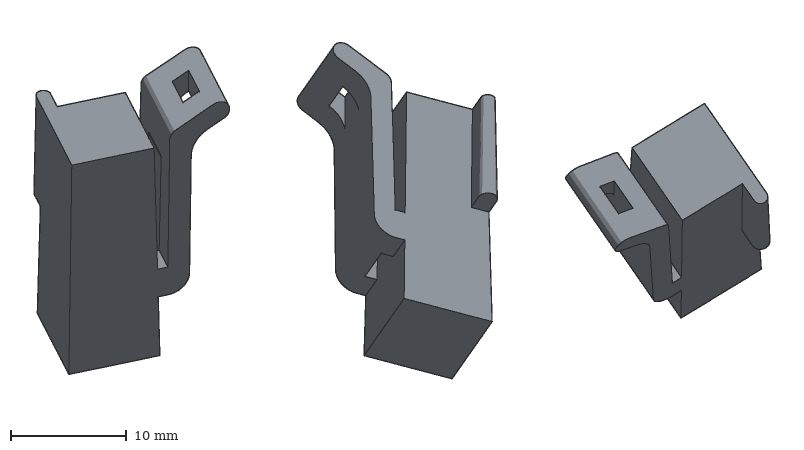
import cadquery as cq
import math

total_height = 26.6
total_depth = 14.8
draft_angle = 1.0
draft_slope = math.tan(math.radians(draft_angle))

body_width = 8.8
body_depth = 8.3
body_height = 23.0

fin_reach = 2.3
fin_bottom = 12.08
fin_base_thickness = 1.68

arm_thickness = 2.0
root_bottom = 6.52
root_top = 9.58
arm_inner_y = 9.07
root_radius = 2.0
bend_inner_radius = 1.0
bend_outer_radius = 3.0
lever_angle = 30.0

window_width = 2.98
window_front = 11.33
window_back = 12.82
root_slot_width = 3.55
root_slot_back = 9.3
root_slot_top = 19.95
opening_center_x = 4.45


def make_body():
    return (
        cq.Workplane("XY")
        .rect(body_width, body_depth, centered=False)
        .extrude(body_height, taper=draft_angle)
    )


def make_fin():
    """Drafted fin with a half-round free end."""
    radius = fin_base_thickness / 2
    front_y = fin_bottom * draft_slope
    back_y = front_y + fin_base_thickness
    round_x = radius - fin_reach
    inner_x = body_width / 2
    return (
        cq.Workplane("XY", origin=(0, 0, fin_bottom))
        .moveTo(inner_x, front_y)
        .lineTo(inner_x, back_y)
        .lineTo(round_x, back_y)
        .threePointArc((-fin_reach, front_y + radius), (round_x, front_y))
        .close()
        .extrude(body_height - fin_bottom, taper=draft_angle)
    )


def vertical_box(width, y_start, y_end, z_start, z_end):
    """Box centered on the latch openings."""
    return (
        cq.Workplane("XY", origin=(opening_center_x, (y_start + y_end) / 2, z_start))
        .rect(width, y_end - y_start)
        .extrude(z_end - z_start)
    )


def make_arm():
    """Bent latch arm, its sides drafted in line with the body."""
    tip_radius = arm_thickness / 2
    tip_y = total_depth - tip_radius
    tip_z = total_height - tip_radius
    lever = math.radians(lever_angle)
    normal_y, normal_z = math.sin(lever), math.cos(lever)

    def face_bend(face_y, side):
        """Corner where an arm face meets the lever face above (+1) or below (-1) the tip."""
        lever_y = tip_y - side * tip_radius * normal_y
        lever_z = tip_z + side * tip_radius * normal_z
        rise = math.tan(lever)
        corner_z = lever_z + rise * (face_y - root_top * draft_slope - lever_y)
        corner_z /= 1 - rise * draft_slope
        corner_y = face_y + (corner_z - root_top) * draft_slope
        return (corner_y, corner_z), (lever_y, lever_z)

    outer_y = arm_inner_y + arm_thickness
    inner_corner, lever_top = face_bend(arm_inner_y, 1)
    outer_corner, lever_bottom = face_bend(outer_y, -1)
    root_outer_y = outer_y - (root_top - root_bottom) * draft_slope
    root_front_y = body_depth / 2

    arm = (
        cq.Workplane("YZ")
        .moveTo(root_front_y, root_bottom)
        .lineTo(root_outer_y, root_bottom)
        .lineTo(*outer_corner)
        .lineTo(*lever_bottom)
        .threePointArc((tip_y + tip_radius * normal_z, tip_z + tip_radius * normal_y), lever_top)
        .lineTo(*inner_corner)
        .lineTo(arm_inner_y, root_top)
        .lineTo(root_front_y, root_top)
        .close()
        .extrude(body_width)
    )

    def round_corner(solid, corner, radius):
        """Round the crosswise edge at a (y, z) corner."""
        nearest = cq.selectors.NearestToPointSelector((body_width / 2, *corner))
        return solid.edges("|X").edges(nearest).fillet(radius)

    arm = round_corner(arm, (root_outer_y, root_bottom), root_radius)
    arm = round_corner(arm, outer_corner, bend_outer_radius)
    arm = round_corner(arm, inner_corner, bend_inner_radius)

    top_inset = total_height * draft_slope
    side_envelope = (
        cq.Workplane("XZ")
        .polyline([
            (0, 0),
            (body_width, 0),
            (body_width - top_inset, total_height),
            (top_inset, total_height),
        ])
        .close()
        .extrude(-total_depth)
    )
    arm = arm.intersect(side_envelope)

    window = vertical_box(window_width, window_front, window_back, root_top, total_height)
    root_slot = vertical_box(root_slot_width, root_front_y, root_slot_back, root_bottom, root_slot_top)
    return arm.cut(window).cut(root_slot)


result = make_body().union(make_fin()).union(make_arm())